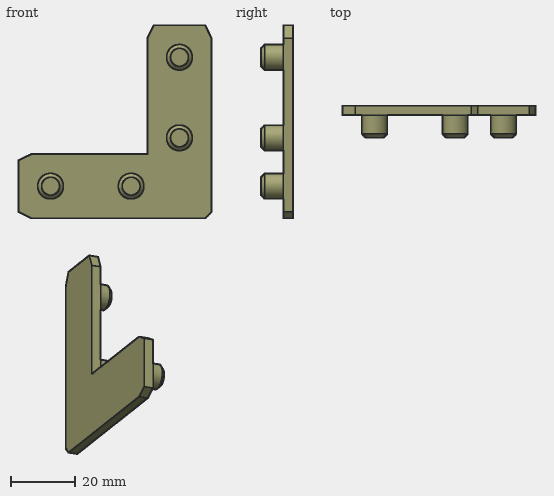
import cadquery as cq

leg_length = 60.0
leg_width = 20.0
plate_thickness = 3.0
end_cut_along = 4.0
end_cut_across = 2.0
heel_chamfer = 2.0

peg_diameter = 8.0
peg_length = 7.0
peg_chamfer = 1.2
outer_peg_inset = leg_width / 2
peg_spacing = 25.0


def make_plate():
    """L-shaped plate; the outer corner where the legs meet is at +X, -Z."""
    inner_corner_x = leg_length - leg_width
    outline = [
        (end_cut_along, 0),
        (0, end_cut_across),
        (0, leg_width - end_cut_across),
        (end_cut_along, leg_width),
        (inner_corner_x, leg_width),
        (inner_corner_x, leg_length - end_cut_along),
        (inner_corner_x + end_cut_across, leg_length),
        (leg_length - end_cut_across, leg_length),
        (leg_length, leg_length - end_cut_along),
        (leg_length, heel_chamfer),
        (leg_length - heel_chamfer, 0),
    ]
    return cq.Workplane("XZ").polyline(outline).close().extrude(-plate_thickness)


def make_peg(x, z):
    """Round peg on the front face of the plate, chamfered at its tip."""
    return (
        cq.Workplane("XZ")
        .center(x, z)
        .circle(peg_diameter / 2)
        .extrude(peg_length)
        .faces("<Y")
        .chamfer(peg_chamfer)
    )


leg_middle = leg_width / 2
peg_distances = [outer_peg_inset, outer_peg_inset + peg_spacing]

plate = make_plate()
pegs = []
for distance in peg_distances:
    pegs.append(make_peg(distance, leg_middle))
    pegs.append(make_peg(leg_length - leg_middle, leg_length - distance))

result = cq.Compound.makeCompound([plate.val(), *[peg.val() for peg in pegs]])